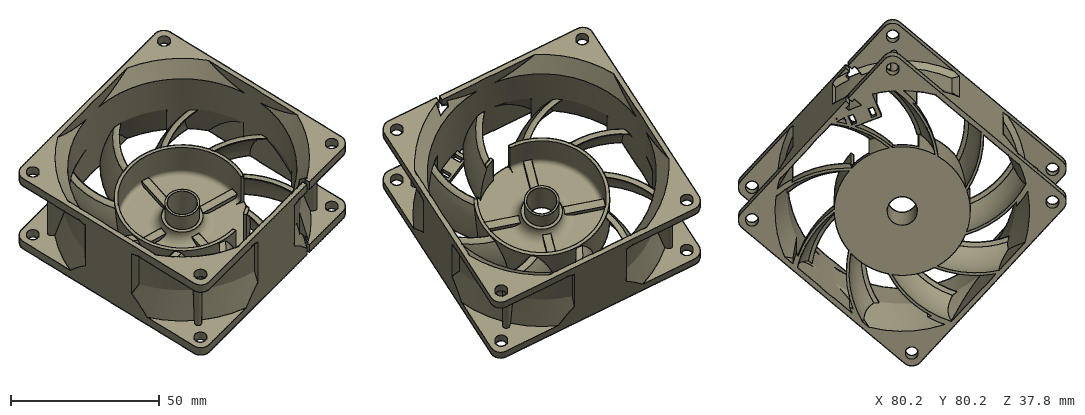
import cadquery as cq
import math

SIDE = 80.2
HEIGHT = 37.8
CORNER_RADIUS = 3.7
FLANGE = 4.0
SCREW_OFFSET = 35.8
SCREW_DIAMETER = 4.3
WALL = 1.8
POCKET_END_X = 9.8
POCKET_END_Y = 10.0

BORE_RADIUS = 38.5
FLARE_RADIUS = 42.75
LOWER_FLARE_TOP = 15.9
UPPER_FLARE_BOTTOM = 32.1
SKIN_RADIUS = 40.0
SKIN_LOWER_RADIUS = 43.3
SKIN_UPPER_RADIUS = 41.9
SKIN_LOWER_BREAK = 16.3
SKIN_UPPER_BREAK = 31.3

RIB_THICKNESS = 2.4
RIB_REACH = 44.4

SLOT_Y = 17.4
SLOT_WIDTH = 1.2
CABLE_Y_RANGE = (15.0, 19.2)

HUB_RADIUS = 22.85
HUB_INNER_RADIUS = 21.65
HUB_FLOOR = 2.25
HUB_HEIGHT = 16.2
HUB_FILLET = 1.7
HUB_GAP = (0.0, 62.7)
HUB_STUB_START = 19.3

TUBE_HOLE_RADIUS = 5.05
TUBE_RADIUS = 5.85
TUBE_HEIGHT = 13.5
COLLAR_RADIUS = 7.0
COLLAR_FILLET = 4.2

SPOKE_COUNT = 4
SPOKE_WIDTH = 2.9
SPOKE_TOP = 4.0
SPOKE_ANGLE = 73.3

VANE_COUNT = 9
VANE_AXIS = (18.05, -21.65)
VANE_LIP_RADIUS = 30.0
VANE_LIP_WIDTH = 0.6
VANE_LIP_DEPTH = 0.4
VANE_TOP_Z = 15.7
VANE_CREST = (31.5, 15.5)
VANE_KNEE = (32.25, 15.1)
VANE_FOOT_RADIUS = 36.5
VANE_THICKNESS = 1.0
VANE_FILLING_RADIUS = 37.4
VANE_ROOT = 0.4

CLIP_ANGLE = 27.0
CLIP_INNER = 33.8
CLIP_LENGTH = 11.9
CLIP_THICKNESS = 2.0
CLIP_HOLE_INNER = 34.7
CLIP_HOLE_OUTER = 37.9
CLIP_HOLE_WIDTH = 1.8
CLIP_HOLE_OFFSET = 3.6
CLIP_BACKING_END = -8.4


def box(x_range, y_range, z_range):
    lengths = [end - start for start, end in (x_range, y_range, z_range)]
    start = (x_range[0], y_range[0], z_range[0])
    return cq.Workplane("XY").box(*lengths, centered=False).translate(start)


def cylinder(radius, z_start, z_end):
    return cq.Workplane("XY").workplane(offset=z_start).circle(radius).extrude(z_end - z_start)


def turned(profile):
    """Revolve an (r, z) outline about the Z axis."""
    return cq.Workplane("XZ").polyline(profile).close().revolve(360, (0, 0, 0), (0, 1, 0))


def around_z(body, angle):
    return body.rotate((0, 0, 0), (0, 0, 1), angle)


def duct_skin():
    return turned([
        (0, FLANGE),
        (SKIN_LOWER_RADIUS, FLANGE),
        (SKIN_RADIUS, SKIN_LOWER_BREAK),
        (SKIN_RADIUS, SKIN_UPPER_BREAK),
        (SKIN_UPPER_RADIUS, HEIGHT - FLANGE),
        (0, HEIGHT - FLANGE),
    ])


def duct_cavity(growth=0.0):
    """Air passage through the frame, optionally grown sideways into the walls."""
    bore = BORE_RADIUS + growth
    flare = FLARE_RADIUS + growth
    flares = turned([
        (0, 0),
        (flare, 0),
        (bore, LOWER_FLARE_TOP),
        (bore, UPPER_FLARE_BOTTOM),
        (flare, HEIGHT),
        (0, HEIGHT),
    ])
    flat = SIDE / 2 - WALL + growth
    clipped = flares.intersect(box((-flat, flat), (-flat, flat), (0, HEIGHT)))
    return clipped.union(cylinder(bore, 0, HEIGHT))


def corner_pockets():
    """Hollows between the flanges, ending on a 45 degree plane at the Y faces and square at the X faces."""
    half = SIDE / 2
    elbow = (half + POCKET_END_X) / 2
    pockets = cq.Workplane("XY")
    for x_side in (-1, 1):
        for y_side in (-1, 1):
            outline = [
                (POCKET_END_X, half),
                (elbow, elbow),
                (elbow, POCKET_END_Y),
                (half, POCKET_END_Y),
                (half, half),
            ]
            pocket = (
                cq.Workplane("XY", origin=(0, 0, FLANGE))
                .polyline([(x_side * x, y_side * y) for x, y in outline])
                .close()
                .extrude(HEIGHT - 2 * FLANGE)
            )
            pockets = pockets.add(pocket)
    return pockets.combine().cut(duct_skin())


def corner_ribs():
    """Plates along the diagonals, from the bore out to a rounded edge, sunk halfway into both flanges."""
    ribs = cq.Workplane("XY")
    length = RIB_REACH - BORE_RADIUS
    for quarter in range(4):
        rib = (
            cq.Workplane("XY", origin=(0, 0, FLANGE / 2))
            .center(RIB_REACH - length / 2, 0)
            .slot2D(length + RIB_THICKNESS, RIB_THICKNESS)
            .extrude(HEIGHT - FLANGE)
        )
        ribs = ribs.add(around_z(rib, 45 + 90 * quarter))
    return ribs.combine()


def frame():
    body = box((-SIDE / 2, SIDE / 2), (-SIDE / 2, SIDE / 2), (0, HEIGHT)).edges("|Z").fillet(CORNER_RADIUS)
    body = body.cut(corner_pockets()).union(corner_ribs()).cut(duct_cavity())
    screws = (
        cq.Workplane("XY")
        .rect(2 * SCREW_OFFSET, 2 * SCREW_OFFSET, forConstruction=True)
        .vertices()
        .circle(SCREW_DIAMETER / 2)
        .extrude(HEIGHT)
    )
    return body.cut(screws)


def cable_slot():
    flat = SIDE / 2 - WALL
    channel = box((BORE_RADIUS / 2, flat), CABLE_Y_RANGE, (0, HEIGHT)).cut(cylinder(SKIN_RADIUS, 0, HEIGHT))
    slit = box((flat, SIDE), (SLOT_Y - SLOT_WIDTH / 2, SLOT_Y + SLOT_WIDTH / 2), (0, HEIGHT))
    return channel.union(slit)


def hub_sector(start, end):
    """Wedge above the hub floor between two angles."""
    reach = 2 * HUB_RADIUS
    points = [(reach * math.cos(math.radians(a)), reach * math.sin(math.radians(a))) for a in (start, end)]
    return cq.Workplane("XY", origin=(0, 0, HUB_FLOOR)).polyline([(0, 0)] + points).close().extrude(HEIGHT)


def hub():
    body = cylinder(HUB_RADIUS, 0, HUB_HEIGHT)
    bowl = cylinder(HUB_INNER_RADIUS, HUB_FLOOR, HEIGHT).faces("<Z").edges().fillet(HUB_FILLET)
    gap_start, gap_end = HUB_GAP
    stub = cylinder(HUB_RADIUS, HUB_FLOOR, HUB_HEIGHT).cut(cylinder(HUB_INNER_RADIUS, 0, HEIGHT))
    stub = stub.intersect(hub_sector(HUB_STUB_START, gap_end)).intersect(below_vane())
    body = body.cut(bowl).cut(hub_sector(gap_start, gap_end)).union(stub)
    spoke = box((0, (HUB_INNER_RADIUS + HUB_RADIUS) / 2), (-SPOKE_WIDTH / 2, SPOKE_WIDTH / 2), (0, SPOKE_TOP))
    for number in range(SPOKE_COUNT):
        body = body.union(around_z(spoke, SPOKE_ANGLE + number * 360 / SPOKE_COUNT))
    return body.union(bearing_tube()).cut(cylinder(TUBE_HOLE_RADIUS, 0, HEIGHT))


def bearing_tube():
    """Tube standing on a collar that flows into the hub floor through a concave fillet."""
    foot = COLLAR_RADIUS + COLLAR_FILLET
    collar_top = HUB_FLOOR + COLLAR_FILLET
    middle = COLLAR_FILLET * (1 - math.sqrt(0.5))
    collar = (
        cq.Workplane("XZ")
        .lineTo(foot, 0)
        .lineTo(foot, HUB_FLOOR)
        .threePointArc((COLLAR_RADIUS + middle, HUB_FLOOR + middle), (COLLAR_RADIUS, collar_top))
        .lineTo(0, collar_top)
        .close()
        .revolve(360, (0, 0, 0), (0, 1, 0))
    )
    return collar.union(cylinder(TUBE_RADIUS, 0, TUBE_HEIGHT))


def vane_ring(section):
    """Turn a section, drawn as radius and height, about the axis of the first vane."""
    ring = section.close().revolve(360, (0, 0, 0), (0, 1, 0)).translate((*VANE_AXIS, 0))
    return ring.intersect(box((0, SIDE), (-HUB_RADIUS / 2, HUB_RADIUS), (0, HEIGHT)))


def bow_point(fraction, depth=0.0):
    """Point on the bowed outer face, from the foot (0) to the knee (1), set back by a depth."""
    knee_r, knee_z = VANE_KNEE
    lean = VANE_FOOT_RADIUS - knee_r
    bow_radius = (lean**2 + knee_z**2) / (2 * lean)
    angle = fraction * math.asin(knee_z / bow_radius)
    bow_centre = VANE_FOOT_RADIUS - bow_radius
    reach = bow_radius - depth
    return (bow_centre + reach * math.cos(angle), reach * math.sin(angle))


def vane_blade():
    return vane_ring(
        cq.Workplane("XZ")
        .moveTo(VANE_LIP_RADIUS, VANE_TOP_Z)
        .lineTo(VANE_LIP_RADIUS + VANE_LIP_WIDTH, VANE_TOP_Z)
        .threePointArc(VANE_CREST, VANE_KNEE)
        .threePointArc(bow_point(0.5), bow_point(0))
        .lineTo(*bow_point(0, VANE_THICKNESS))
        .threePointArc(bow_point(0.5, VANE_THICKNESS), bow_point(1, VANE_THICKNESS))
        .lineTo(VANE_LIP_RADIUS, VANE_TOP_Z - VANE_LIP_DEPTH)
    )


def above_vane():
    """Space from the outer face of the first vane up to the end of the lower flare."""
    return vane_ring(
        cq.Workplane("XZ")
        .moveTo(VANE_LIP_RADIUS, LOWER_FLARE_TOP)
        .lineTo(VANE_FILLING_RADIUS, LOWER_FLARE_TOP)
        .lineTo(VANE_FILLING_RADIUS, 0)
        .lineTo(VANE_FOOT_RADIUS, 0)
        .threePointArc(bow_point(0.5), bow_point(1))
        .lineTo(VANE_LIP_RADIUS, VANE_TOP_Z - VANE_LIP_DEPTH)
    )


def below_vane():
    """Space inside the outer face of the first vane, as high as the hub wall."""
    knee_r = VANE_KNEE[0]
    return vane_ring(
        cq.Workplane("XZ")
        .moveTo(VANE_LIP_RADIUS / 2, 0)
        .lineTo(VANE_FOOT_RADIUS, 0)
        .threePointArc(bow_point(0.5), bow_point(1))
        .lineTo(knee_r, HUB_HEIGHT)
        .lineTo(VANE_LIP_RADIUS / 2, HUB_HEIGHT)
    )


def flare_ring():
    """Space between the straight bore and the flared passage walls."""
    return duct_cavity(VANE_ROOT).cut(cylinder(BORE_RADIUS, 0, HEIGHT))


def guide_vanes():
    """All vanes, run from inside the hub wall to inside the duct wall, with the flare filled above each."""
    passage = duct_cavity(VANE_ROOT).cut(cylinder(HUB_RADIUS - VANE_ROOT, 0, HEIGHT))
    blade = vane_blade()
    filling = above_vane()
    ring = flare_ring()
    vanes = cq.Workplane("XY")
    for number in range(VANE_COUNT):
        angle = number * 360 / VANE_COUNT
        trimmed = around_z(blade, angle).intersect(passage)
        vanes = vanes.add(trimmed.union(around_z(filling, angle).intersect(ring)))
    return vanes.combine()


def cable_clip():
    half = CLIP_LENGTH / 2
    plate = box((CLIP_INNER, FLARE_RADIUS), (-half, half), (0, CLIP_THICKNESS))
    for side in (-1, 1):
        y = side * CLIP_HOLE_OFFSET
        hole = box(
            (CLIP_HOLE_INNER, CLIP_HOLE_OUTER),
            (y - CLIP_HOLE_WIDTH / 2, y + CLIP_HOLE_WIDTH / 2),
            (0, CLIP_THICKNESS),
        )
        plate = plate.cut(hole)
    backing = box((CLIP_INNER, SIDE), (CLIP_BACKING_END, half), (0, LOWER_FLARE_TOP))
    backing = around_z(backing, CLIP_ANGLE).intersect(flare_ring())
    return around_z(plate, CLIP_ANGLE).intersect(duct_cavity(VANE_ROOT)).union(backing)


result = frame().union(hub()).union(guide_vanes()).union(cable_clip()).cut(cable_slot())